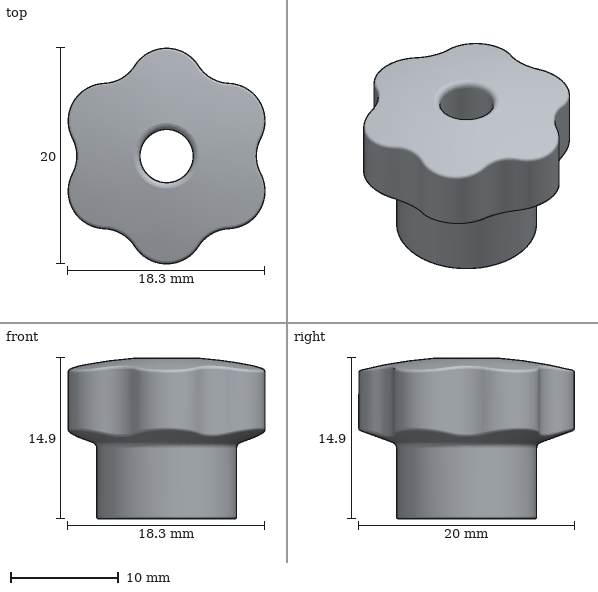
import cadquery as cq
import math

lobe_count = 6
lobe_radius = 3.5
lobe_center_distance = 6.5
valley_radius = 3.5
grip_radius = lobe_center_distance + lobe_radius
edge_fillet = 0.3

dome_apex_height = 15.02
dome_radius = 40
underside_rim_height = 8.25
underside_neck_height = 6.95
envelope_overrun = 0.4

hub_radius = 13 / 2
hub_edge_fillet = 0.2
neck_fillet = 0.5
neck_search = 0.02
bore_radius = 4.92 / 2
bore_mouth_fillet = 0.55


def polar(distance, angle):
    return (distance * math.cos(angle), distance * math.sin(angle))


def between(start, end, fraction):
    return tuple(a + (b - a) * fraction for a, b in zip(start, end))


def star_prism(height):
    """Alternating tangent convex lobes and concave valleys, one lobe on +Y."""
    half_pitch = math.pi / lobe_count
    center_gap = lobe_radius + valley_radius
    valley_center_distance = lobe_center_distance * math.cos(half_pitch) + math.sqrt(
        center_gap**2 - (lobe_center_distance * math.sin(half_pitch)) ** 2
    )
    tangent_fraction = lobe_radius / center_gap

    def tangent_point(lobe_angle, side):
        lobe_center = polar(lobe_center_distance, lobe_angle)
        valley_center = polar(valley_center_distance, lobe_angle + side * half_pitch)
        return between(lobe_center, valley_center, tangent_fraction)

    first_angle = math.pi / 2
    outline = cq.Workplane("XY").moveTo(*tangent_point(first_angle, -1))
    for i in range(lobe_count):
        angle = first_angle + 2 * i * half_pitch
        next_angle = angle + 2 * half_pitch
        lobe_tip = polar(grip_radius, angle)
        valley_bottom = polar(valley_center_distance - valley_radius, angle + half_pitch)
        outline = outline.threePointArc(lobe_tip, tangent_point(angle, 1))
        outline = outline.threePointArc(valley_bottom, tangent_point(next_angle, -1))
    return outline.close().extrude(height)


def grip_envelope():
    """Revolved ring around the bore, with a domed top and a conical underside."""
    reach = grip_radius + envelope_overrun
    dome_center_height = dome_apex_height - dome_radius
    cone_slope = (underside_rim_height - underside_neck_height) / (grip_radius - hub_radius)

    def dome_point(radius):
        return (radius, dome_center_height + math.sqrt(dome_radius**2 - radius**2))

    return (
        cq.Workplane("XZ")
        .moveTo(bore_radius, underside_neck_height)
        .lineTo(hub_radius, underside_neck_height)
        .lineTo(reach, underside_neck_height + cone_slope * (reach - hub_radius))
        .lineTo(*dome_point(reach))
        .threePointArc(dome_point(grip_radius / 2), dome_point(bore_radius))
        .close()
        .revolve(360, (0, 0, 0), (0, 1, 0))
    )


grip = star_prism(dome_apex_height).intersect(grip_envelope())
grip = grip.edges("not (%LINE or %CIRCLE)").fillet(edge_fillet)

hub = cq.Workplane("XY").circle(hub_radius).circle(bore_radius).extrude(underside_neck_height)
hub = hub.faces("<Z").edges(cq.selectors.RadiusNthSelector(-1)).fillet(hub_edge_fillet)
knob = grip.union(hub)
neck_edge = cq.selectors.BoxSelector(
    (-hub_radius - neck_search, -hub_radius - neck_search, underside_neck_height - neck_search),
    (hub_radius + neck_search, hub_radius + neck_search, underside_neck_height + neck_search),
    boundingbox=True,
)
knob = knob.edges("%CIRCLE").edges(neck_edge).fillet(neck_fillet)

result = knob.edges("%CIRCLE").edges(">Z").fillet(bore_mouth_fillet)